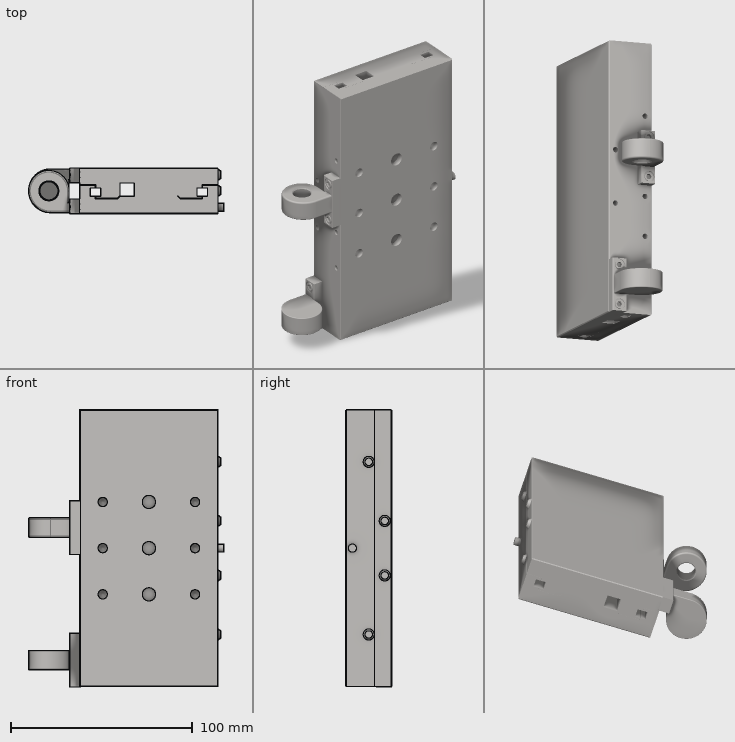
import cadquery as cq
import math

BODY_WIDTH = 76.2
BODY_DEPTH = 25.4
BODY_LENGTH = 152.4
BODY_CHAMFER = 0.5
SIDE_X = BODY_WIDTH / 2
MID_Y = BODY_DEPTH / 2

HOLE_PITCH = 25.4
TAPPED_DIAMETER = 5.1
TAPPED_DEPTH = 6.5
DRILL_POINT_HEIGHT = TAPPED_DIAMETER / 2 * math.tan(math.radians(31))
PLAIN_DIAMETER = 7.3
PLAIN_DEPTH = 3.5

SEAM_GAP = 0.1
SEAM_BACK_Y = 15.95
SEAM_FRONT_Y = 8.5
SEAM_STEP_X = 29.35
SEAM_BEND_X = 17.2
SEAM_END_X = 15.9
WAY_WIDTH = 5.7
WAY_FRONT_Y = 9.8
WAY_BACK_Y = 14.2
CHANNEL_RIGHT_X = -8.2
CHANNEL_BACK_Y = 17.0

ROW_INSET = 3.9
FRONT_ROW_Y = ROW_INSET
BACK_ROW_Y = BODY_DEPTH - ROW_INSET
SIDE_HOLE_DIAMETER = 3.0
SIDE_HOLE_DEPTH = 6.0
FRONT_ROW_HOLE_Z = (35.2, -9.9, -32.3)
BACK_ROW_HOLE_Z = (15.0, -15.0)

BUTTON_DIAMETER = 6.1
BUTTON_TOP_DIAMETER = 4.1
BUTTON_HEIGHT = 1.5
INNER_BUTTON_Z = 15.0
OUTER_BUTTON_Z = 47.5
PIN_DIAMETER = 4.5
PIN_Y = 3.7
PIN_HEIGHT = 3.2

OVERALL_WIDTH = 107.54
OVERALL_LENGTH = 152.6
PLATE_THICKNESS = 5.55
PLATE_INSET = 0.05
PLATE_REACH = 8.3
PLATE_LENGTH = 29.6
PLATE_CHAMFER = 0.3
PLATE_FACE_X = -SIDE_X - PLATE_THICKNESS
LOWER_BRACKET_Z = BODY_LENGTH / 2 - OVERALL_LENGTH + PLATE_LENGTH / 2
UPPER_BRACKET_Z = 11.3
EAR_TIP_X = SIDE_X + PIN_HEIGHT - OVERALL_WIDTH
EAR_FLAT_RADIUS = 12.1
EAR_ROUND_RADIUS = 11.2
EAR_ROOT_DEPTH = 1.5
UPPER_EAR_THICKNESS = 11.0
UPPER_EAR_FILLET = 0.9
LOWER_EAR_THICKNESS = 10.7
LOWER_EAR_FILLET = 0.4
EAR_HOLE_DIAMETER = 10.0
EAR_HOLE_CHAMFER = 0.5

SCREW_PITCH = 22.2
COUNTERBORE_DIAMETER = 6.4
COUNTERBORE_GAP_DEPTH = 0.6
HEAD_DIAMETER = 4.8
SOCKET_ACROSS_CORNERS = 3.2
SOCKET_DEPTH = 2.0


def block(x_range, y_range, z_range):
    """Box spanning the given coordinate ranges."""
    sizes = [high - low for low, high in (x_range, y_range, z_range)]
    corner = (x_range[0], y_range[0], z_range[0])
    return cq.Workplane("XY").box(*sizes, centered=False).translate(corner)


def x_cylinder(x_start, y, z, diameter, length):
    """Cylinder running from x_start toward +X."""
    plane = cq.Workplane("YZ", origin=(x_start, y, z))
    return plane.circle(diameter / 2).extrude(length)


def y_cylinder(x, z, diameter, depth):
    """Cylinder running from the front face into the body."""
    plane = cq.Workplane("XZ", origin=(x, 0, z))
    return plane.circle(diameter / 2).extrude(-depth)


def make_body():
    """Rectangular body with bevelled front and back outlines."""
    length_range = (-BODY_LENGTH / 2, BODY_LENGTH / 2)
    body = block((-SIDE_X, SIDE_X), (0, BODY_DEPTH), length_range)
    return body.faces("<Y or >Y").edges().chamfer(BODY_CHAMFER)


def make_seam(side):
    """Narrow slit, full length, that steps past one way; side is -1 or +1."""
    half_gap = SEAM_GAP / 2
    path = [
        (SIDE_X, SEAM_BACK_Y),
        (SEAM_STEP_X, SEAM_BACK_Y),
        (SEAM_STEP_X, SEAM_FRONT_Y),
        (SEAM_BEND_X, SEAM_FRONT_Y),
        (SEAM_END_X, WAY_FRONT_Y),
    ]
    path = [(side * x, y) for x, y in path]
    line = cq.Workplane("XY", origin=(0, 0, -BODY_LENGTH / 2)).polyline(path)
    return line.offset2D(half_gap).extrude(BODY_LENGTH)


def cut_ways(body):
    """Cut both bearing ways, their seams and the square channel through Z."""
    length_range = (-BODY_LENGTH / 2, BODY_LENGTH / 2)
    for side in (-1, 1):
        centre = side * SEAM_STEP_X
        way_range = (centre - WAY_WIDTH / 2, centre + WAY_WIDTH / 2)
        body = body.cut(block(way_range, (WAY_FRONT_Y, WAY_BACK_Y), length_range))
        body = body.cut(make_seam(side))
    channel_range = (-SEAM_END_X, CHANNEL_RIGHT_X)
    return body.cut(block(channel_range, (WAY_FRONT_Y, CHANNEL_BACK_Y), length_range))


def make_tapped_hole(x, z):
    """Blind hole with a conical drill point."""
    hole = y_cylinder(x, z, TAPPED_DIAMETER, TAPPED_DEPTH)
    tip = cq.Solid.makeCone(
        TAPPED_DIAMETER / 2,
        0,
        DRILL_POINT_HEIGHT,
        pnt=cq.Vector(x, TAPPED_DEPTH, z),
        dir=cq.Vector(0, 1, 0),
    )
    return hole.union(cq.Workplane(tip))


def cut_front_holes(body):
    """Three rows, each a plain hole between two drilled ones."""
    for row in (-1, 0, 1):
        z = row * HOLE_PITCH
        body = body.cut(y_cylinder(0, z, PLAIN_DIAMETER, PLAIN_DEPTH))
        for side in (-1, 1):
            body = body.cut(make_tapped_hole(side * HOLE_PITCH, z))
    return body


def cut_side_holes(body):
    """Small blind holes in the -X side."""
    places = [(FRONT_ROW_Y, z) for z in FRONT_ROW_HOLE_Z]
    places += [(BACK_ROW_Y, z) for z in BACK_ROW_HOLE_Z]
    for y, z in places:
        body = body.cut(x_cylinder(-SIDE_X, y, z, SIDE_HOLE_DIAMETER, SIDE_HOLE_DEPTH))
    return body


def make_button(y, z):
    """Low tapered screw head on the +X side."""
    crown = cq.Solid.makeCone(
        BUTTON_DIAMETER / 2,
        BUTTON_TOP_DIAMETER / 2,
        BUTTON_HEIGHT,
        pnt=cq.Vector(SIDE_X, y, z),
        dir=cq.Vector(1, 0, 0),
    )
    return cq.Workplane(crown)


def add_side_hardware(body):
    """Four screw heads and a plain pin on the +X side."""
    for side in (-1, 1):
        body = body.union(make_button(BACK_ROW_Y, side * INNER_BUTTON_Z))
        body = body.union(make_button(MID_Y, side * OUTER_BUTTON_Z))
    return body.union(x_cylinder(SIDE_X, PIN_Y, 0, PIN_DIAMETER, PIN_HEIGHT))


def make_plate():
    """Plate just behind the front face, reaching under the body's edge bevel, centred on Z = 0."""
    half_length = PLATE_LENGTH / 2
    x_range = (PLATE_FACE_X, -SIDE_X + BODY_CHAMFER)
    plate = block(x_range, (PLATE_INSET, PLATE_REACH), (-half_length, half_length))
    return plate.faces("<X").edges("|Z").chamfer(PLATE_CHAMFER)


def make_ear(thickness, fillet):
    """Ear with a flat toward the front and a full round behind, rooted in the plate."""
    flat_centre_x = EAR_TIP_X + EAR_FLAT_RADIUS
    round_centre_x = EAR_TIP_X + EAR_ROUND_RADIUS
    diagonal = math.sqrt(0.5)
    round_end_x = round_centre_x + EAR_ROUND_RADIUS
    root_x = PLATE_FACE_X + EAR_ROOT_DEPTH
    root_y = PLATE_REACH - EAR_ROOT_DEPTH
    ear = (
        cq.Workplane("XY", origin=(0, 0, -thickness / 2))
        .moveTo(root_x, MID_Y - EAR_FLAT_RADIUS)
        .lineTo(flat_centre_x, MID_Y - EAR_FLAT_RADIUS)
        .threePointArc(
            (flat_centre_x - EAR_FLAT_RADIUS * diagonal, MID_Y - EAR_FLAT_RADIUS * diagonal),
            (EAR_TIP_X, MID_Y),
        )
        .threePointArc(
            (round_centre_x, MID_Y + EAR_ROUND_RADIUS),
            (round_end_x, MID_Y),
        )
        .lineTo(round_end_x, root_y)
        .lineTo(root_x, root_y)
        .close()
        .extrude(thickness)
    )
    return ear.faces("<Z or >Z").edges("not(>X)").fillet(fillet)


def make_screw_recess(z):
    """Space cut for one sunk screw: the ring around its head and its socket."""
    bore = x_cylinder(PLATE_FACE_X, FRONT_ROW_Y, z, COUNTERBORE_DIAMETER, COUNTERBORE_GAP_DEPTH)
    head = x_cylinder(PLATE_FACE_X, FRONT_ROW_Y, z, HEAD_DIAMETER, COUNTERBORE_GAP_DEPTH)
    socket = (
        cq.Workplane("YZ", origin=(PLATE_FACE_X, FRONT_ROW_Y, z))
        .polygon(6, SOCKET_ACROSS_CORNERS)
        .extrude(SOCKET_DEPTH)
    )
    return bore.cut(head).add(socket).combine()


def make_bracket(ear):
    """Plate and ear joined, with both screw recesses cut."""
    bracket = make_plate().union(ear)
    for side in (-1, 1):
        bracket = bracket.cut(make_screw_recess(side * SCREW_PITCH / 2))
    return bracket


def make_drilled_ear():
    """Upper ear with its chamfered through hole."""
    ear = make_ear(UPPER_EAR_THICKNESS, UPPER_EAR_FILLET)
    hole_x = EAR_TIP_X + EAR_ROUND_RADIUS
    bottom = (hole_x, MID_Y, -UPPER_EAR_THICKNESS / 2)
    hole = cq.Workplane("XY", origin=bottom).circle(EAR_HOLE_DIAMETER / 2).extrude(UPPER_EAR_THICKNESS)
    ear = ear.cut(hole)
    for side in (-1, 1):
        mouth = cq.Solid.makeCone(
            EAR_HOLE_DIAMETER / 2 + EAR_HOLE_CHAMFER,
            EAR_HOLE_DIAMETER / 2,
            EAR_HOLE_CHAMFER,
            pnt=cq.Vector(hole_x, MID_Y, side * UPPER_EAR_THICKNESS / 2),
            dir=cq.Vector(0, 0, -side),
        )
        ear = ear.cut(cq.Workplane(mouth))
    return ear


def make_upper_bracket():
    """Bracket along the front face, with a drilled ear."""
    return make_bracket(make_drilled_ear()).translate((0, 0, UPPER_BRACKET_Z))


def make_lower_bracket():
    """Bracket turned over to sit along the back face, with a solid ear."""
    bracket = make_bracket(make_ear(LOWER_EAR_THICKNESS, LOWER_EAR_FILLET))
    return bracket.mirror("XZ", (0, MID_Y, 0)).translate((0, 0, LOWER_BRACKET_Z))


body = make_body()
body = cut_ways(body)
body = cut_front_holes(body)
body = cut_side_holes(body)
body = add_side_hardware(body)
result = body.union(make_upper_bracket()).union(make_lower_bracket())